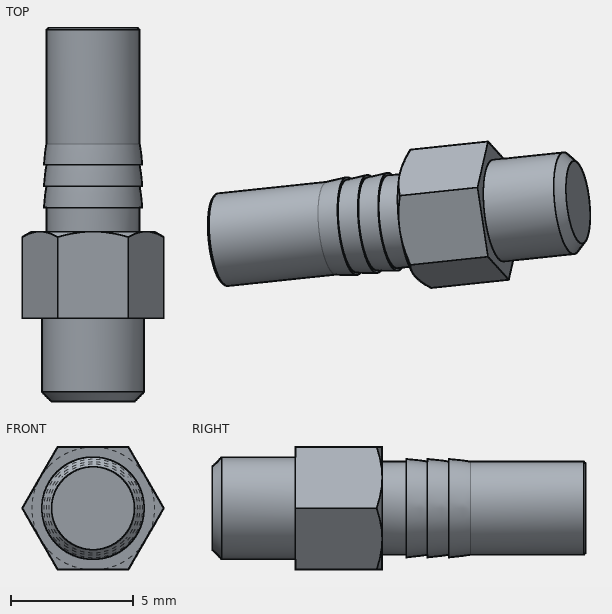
import cadquery as cq
import math

total_length = 15.24
plug_length = 3.4
hex_length = 3.54

plug_diameter = 4.18
plug_chamfer = 0.4
hex_sides = 6
hex_across_corners = 5.78
hex_chamfer_angle = 30.0
stem_diameter = 3.81
stem_chamfer = 0.09

barb_count = 3
barb_pitch = 0.87
barb_height = 0.1
barb_bulge = 0.02
barb_gap = 0.98

hex_end = plug_length + hex_length
hex_across_flats = hex_across_corners * math.cos(math.pi / hex_sides)
stem_radius = stem_diameter / 2


def cylinder(diameter, start, length):
    """Round bar along +Y beginning at y = start."""
    plane = cq.Workplane("XZ", origin=(0, start, 0))
    return plane.circle(diameter / 2).extrude(-length)


def revolve_about_y(profile):
    """Close a half profile and turn it fully around the Y axis."""
    return profile.close().revolve(360, (0, 0, 0), (0, 1, 0))


def make_plug():
    """Front plug with its front rim chamfered."""
    return cylinder(plug_diameter, 0, plug_length).faces("<Y").chamfer(plug_chamfer)


def make_hexagon():
    """Hexagon with flats facing +Z and -Z and its rear corners turned off."""
    plane = cq.Workplane("XZ", origin=(0, plug_length, 0))
    prism = plane.polygon(hex_sides, hex_across_corners).extrude(-hex_length)
    flat_radius = hex_across_flats / 2
    corner_radius = hex_across_corners / 2
    chamfer_drop = (corner_radius - flat_radius) * math.tan(math.radians(hex_chamfer_angle))
    envelope = revolve_about_y(
        cq.Workplane("XY")
        .moveTo(0, plug_length)
        .lineTo(corner_radius, plug_length)
        .lineTo(corner_radius, hex_end - chamfer_drop)
        .lineTo(flat_radius, hex_end)
        .lineTo(0, hex_end)
    )
    return prism.intersect(envelope)


def make_stem():
    """Rear stem with its far rim chamfered."""
    bar = cylinder(stem_diameter, hex_end, total_length - hex_end)
    return bar.faces(">Y").chamfer(stem_chamfer)


def make_barb(start):
    """Ring with a square shoulder at y = start, curving down to the stem behind it."""
    end = start + barb_pitch
    middle = (stem_radius + barb_height / 2 + barb_bulge, start + barb_pitch / 2)
    return revolve_about_y(
        cq.Workplane("XY")
        .moveTo(0, start)
        .lineTo(stem_radius + barb_height, start)
        .threePointArc(middle, (stem_radius, end))
        .lineTo(0, end)
    )


result = make_plug().union(make_hexagon()).union(make_stem())
for index in range(barb_count):
    result = result.union(make_barb(hex_end + barb_gap + index * barb_pitch))